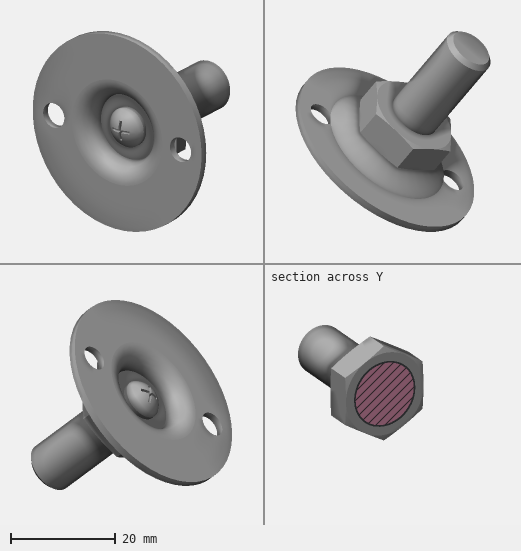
import cadquery as cq
import math

plate_diameter = 40.0
plate_thickness = 1.5
hole_diameter = 5.0
hole_spacing = 30.0

cone_base_radius = 13.0
cone_top_radius = 6.6
neck_height = 0.15
recess_floor_radius = 6.7
recess_lip_radius = 4.0

nut_start = 4.8
nut_end = 11.0
nut_across_flats = 17.0
nut_bevel_angle = 15.0

stud_diameter = 10.0
stud_end = 31.0
stud_chamfer = 0.9

head_diameter = 8.0
head_rim_height = 0.8
head_height = 3.2
slot_length = 4.0
slot_width = 0.6
slot_depth = 1.0


def revolve_about_y(profile):
    """Turn a closed (radius, Y) profile around the Y axis."""
    return profile.close().revolve(360, (0, 0, 0), (0, 1, 0))


def cylinder(diameter, start, end):
    """Cylinder along +Y between two Y positions."""
    plane = cq.Workplane("XZ", origin=(0, start, 0))
    return plane.circle(diameter / 2).extrude(start - end)


def make_plate():
    plate = cylinder(plate_diameter, 0, plate_thickness)
    holes = (
        cq.Workplane("XZ")
        .pushPoints([(-hole_spacing / 2, 0), (hole_spacing / 2, 0)])
        .circle(hole_diameter / 2)
        .extrude(-plate_thickness)
    )
    return plate.cut(holes)


def make_cone():
    return revolve_about_y(
        cq.Workplane("XY")
        .moveTo(0, plate_thickness)
        .lineTo(cone_base_radius, plate_thickness)
        .lineTo(cone_top_radius, nut_start - neck_height)
        .lineTo(cone_top_radius, nut_start)
        .lineTo(0, nut_start)
    )


def make_recess():
    outer_radius = recess_floor_radius + recess_lip_radius
    diagonal = recess_lip_radius * math.sqrt(0.5)
    return revolve_about_y(
        cq.Workplane("XY")
        .lineTo(outer_radius, 0)
        .threePointArc(
            (outer_radius - diagonal, recess_lip_radius - diagonal),
            (recess_floor_radius, recess_lip_radius),
        )
        .lineTo(0, recess_lip_radius)
    )


def make_nut():
    corner_radius = nut_across_flats / math.sqrt(3)
    bevel_width = corner_radius - nut_across_flats / 2
    bevel_height = bevel_width * math.tan(math.radians(nut_bevel_angle))
    hexagon = (
        cq.Workplane("XZ", origin=(0, nut_start, 0))
        .polygon(6, 2 * corner_radius)
        .extrude(nut_start - nut_end)
        .rotate((0, 0, 0), (0, 1, 0), 30)
    )
    envelope = revolve_about_y(
        cq.Workplane("XY")
        .moveTo(0, nut_start)
        .lineTo(nut_across_flats / 2, nut_start)
        .lineTo(corner_radius, nut_start + bevel_height)
        .lineTo(corner_radius, nut_end - bevel_height)
        .lineTo(nut_across_flats / 2, nut_end)
        .lineTo(0, nut_end)
    )
    return hexagon.intersect(envelope)


def make_stud():
    return cylinder(stud_diameter, nut_start, stud_end).faces(">Y").chamfer(stud_chamfer)


def make_head():
    radius = head_diameter / 2
    rim = recess_lip_radius - head_rim_height
    crown = recess_lip_radius - head_height
    dome_height = rim - crown
    dome_radius = (radius**2 + dome_height**2) / (2 * dome_height)
    half_angle = math.asin(radius / dome_radius) / 2
    dome_midpoint = (
        dome_radius * math.sin(half_angle),
        crown + dome_radius * (1 - math.cos(half_angle)),
    )
    head = revolve_about_y(
        cq.Workplane("XY")
        .moveTo(0, recess_lip_radius)
        .lineTo(radius, recess_lip_radius)
        .lineTo(radius, rim)
        .threePointArc(dome_midpoint, (0, crown))
    )
    for length, width in ((slot_length, slot_width), (slot_width, slot_length)):
        slot = cq.Workplane("XZ").rect(length, width).extrude(-(crown + slot_depth))
        head = head.cut(slot)
    return head


body = make_plate().union(make_cone()).cut(make_recess())
result = body.union(make_nut()).union(make_stud()).union(make_head())